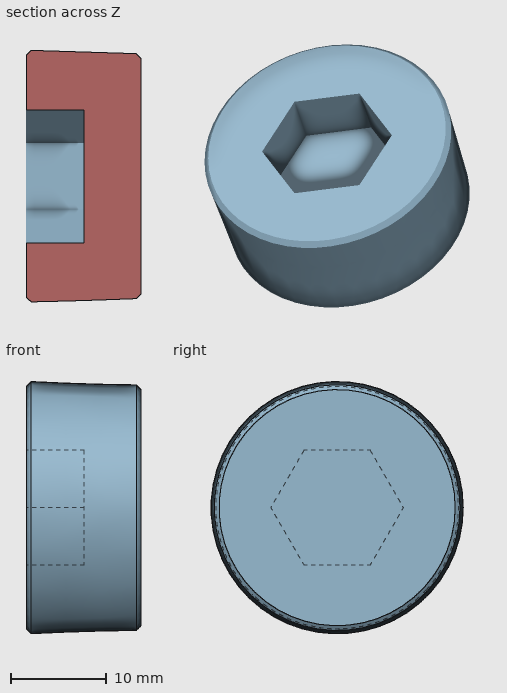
import cadquery as cq
import math

length = 12.0
wide_diameter = 26.35
taper = 1 / 16
chamfer = 0.5
hex_across_flats = 12.0
hex_depth = 6.0

wide_radius = wide_diameter / 2
narrow_radius = wide_radius - (length - 2 * chamfer) * taper / 2


def tapered_body():
    """Revolve the half profile, with a chamfer at each end, about the X axis."""
    half_profile = [
        (0, 0),
        (0, wide_radius - chamfer),
        (chamfer, wide_radius),
        (length - chamfer, narrow_radius),
        (length, narrow_radius - chamfer),
        (length, 0),
    ]
    profile = cq.Workplane("XY").polyline(half_profile).close()
    return profile.revolve(360, (0, 0, 0), (1, 0, 0))


def hex_socket():
    """Blind hexagonal prism with two corners on the Y axis and flats facing Z."""
    across_corners = hex_across_flats / math.cos(math.pi / 6)
    return cq.Workplane("YZ").polygon(6, across_corners).extrude(hex_depth)


plug = tapered_body().cut(hex_socket())
result = plug.translate((-length / 2, 0, 0))